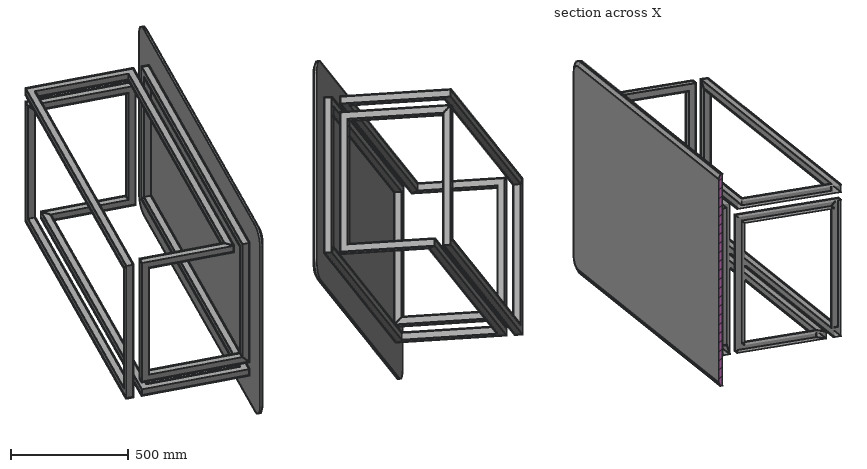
import cadquery as cq

panel_width = 1665.0
panel_height = 970.0
panel_thickness = 20.0
panel_corner_radius = 68.0
bevel_depth = panel_thickness / 2
bevel_inset = 20.0

bar = 35.0
wall = 3.0
bore = bar - 2 * wall
panel_margin = 138.0
overall_depth = 576.0

frame_width = panel_width - 2 * panel_margin
frame_height = panel_height - 2 * panel_margin

pitch = 2 * bar
left = -(frame_width - bar) / 2
right = -left
bottom = -(frame_height - bar) / 2
top = -bottom
lower = bottom + pitch
upper = top - pitch
back = -panel_thickness - bar / 2
front = -overall_depth + bar / 2
inner_back = back - pitch
inner_front = front + pitch

loop_corners = [
    cq.Vector(right, front, top),
    cq.Vector(left, front, top),
    cq.Vector(left, inner_back, top),
    cq.Vector(right, inner_back, top),
    cq.Vector(right, inner_front, top),
    cq.Vector(right, inner_front, lower),
    cq.Vector(right, back, lower),
    cq.Vector(right, back, top),
    cq.Vector(left, back, top),
    cq.Vector(left, back, bottom),
    cq.Vector(right, back, bottom),
    cq.Vector(right, inner_front, bottom),
    cq.Vector(left, inner_front, bottom),
    cq.Vector(left, inner_back, bottom),
    cq.Vector(left, inner_back, upper),
    cq.Vector(left, front, upper),
    cq.Vector(left, front, bottom),
    cq.Vector(right, front, bottom),
]
bars_per_bracket = 3


def corner(index):
    """Corner of the loop, counted round and round."""
    return loop_corners[index % len(loop_corners)]


def direction(index):
    """Unit vector along the bar that leaves the given corner."""
    return (corner(index + 1) - corner(index)).normalized()


def make_panel():
    """Board with a full-size front face and a smaller back face behind the bevel."""
    board = (
        cq.Workplane("XZ")
        .rect(panel_width, panel_height)
        .extrude(panel_thickness)
        .edges("|Y")
        .fillet(panel_corner_radius)
    )
    return board.faces(">Y").chamfer(bevel_depth, bevel_inset)


def make_bar(index, side):
    """Square bar along the loop from one corner to the next, squared off around both corners."""
    along = direction(index)
    start = corner(index) - along * (side / 2)
    length = (corner(index + 1) - corner(index)).Length + side
    return cq.Workplane(cq.Plane(origin=start, normal=along)).rect(side, side).extrude(length)


def make_bar_run(first, side):
    """Flat U made of the three bars that follow the given corner."""
    run = make_bar(first, side)
    for index in range(first + 1, first + bars_per_bracket):
        run = run.union(make_bar(index, side))
    return run


def make_mitre_cutter(index, outward):
    """Block on one side of the 45 degree joint plane through the given corner."""
    joint_normal = (direction(index - 1) + direction(index)) * outward
    joint_plane = cq.Plane(origin=corner(index), normal=joint_normal)
    return cq.Workplane(joint_plane).rect(2 * pitch, 2 * pitch).extrude(pitch)


def make_bracket(first):
    """Hollow U of three tubes, mitred at both ends where it meets the neighbouring brackets."""
    bracket = make_bar_run(first, bar).cut(make_bar_run(first, bore))
    bracket = bracket.cut(make_mitre_cutter(first, -1))
    bracket = bracket.cut(make_mitre_cutter(first + bars_per_bracket, 1))
    return bracket.clean()


panel = make_panel()
brackets = [make_bracket(first) for first in range(0, len(loop_corners), bars_per_bracket)]

result = cq.Compound.makeCompound([panel.val(), *[bracket.val() for bracket in brackets]])